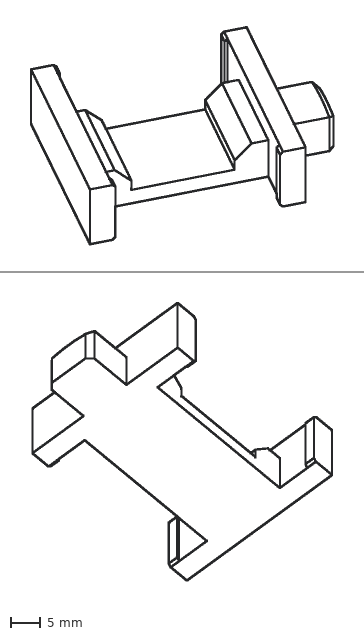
import cadquery as cq

plate_width = 33.8
plate_height = 12.0
plate_thickness = 4.0
lip_width = 2.0
lip_depth = 0.5

web_width = 17.0
floor_height = 3.0
step_height = 5.0
shoulder_height = 8.0
shoulder_length = 3.0
ramp_length = 3.0

peg_width = 10.0
peg_length = 9.0
peg_side_height = 7.43
peg_crown_height = 8.0
peg_chamfer = 1.1

total_length = 47.3
front_plate_inner = plate_thickness
back_plate_outer = total_length - peg_length
back_plate_inner = back_plate_outer - plate_thickness


def extrude_across(points, width, center_x=0.0):
    """Extrude a (Y, Z) outline along X, centred on center_x."""
    start = cq.Workplane("YZ").workplane(offset=center_x - width / 2)
    return start.polyline(points).close().extrude(width)


def end_plate(outer_y, inner_y, inward):
    """Plate with a bevelled lip at each end; inward is the Y sign toward the web."""
    plate = extrude_across(
        [(outer_y, 0), (inner_y, 0), (inner_y, plate_height), (outer_y, plate_height)],
        plate_width,
    )
    lip_face = inner_y + inward * lip_depth
    lip_outline = [
        (outer_y, 0),
        (inner_y, 0),
        (lip_face, lip_depth),
        (lip_face, plate_height - lip_depth),
        (inner_y, plate_height),
        (outer_y, plate_height),
    ]
    for side in (-1, 1):
        lip_center = side * (plate_width - lip_width) / 2
        plate = plate.union(extrude_across(lip_outline, lip_width, lip_center))
    return plate


def web():
    """Flat floor between two sloped shoulders."""
    front_ramp = front_plate_inner + shoulder_length
    back_ramp = back_plate_inner - shoulder_length
    outline = [
        (front_plate_inner, 0),
        (front_plate_inner, shoulder_height),
        (front_ramp, shoulder_height),
        (front_ramp + ramp_length, step_height),
        (front_ramp + ramp_length, floor_height),
        (back_ramp - ramp_length, floor_height),
        (back_ramp - ramp_length, step_height),
        (back_ramp, shoulder_height),
        (back_plate_inner, shoulder_height),
        (back_plate_inner, 0),
    ]
    return extrude_across(outline, web_width)


def peg():
    """Crowned peg, chamfered around its free end except along the flat bottom."""
    half_width = peg_width / 2
    body = (
        cq.Workplane("XZ", origin=(0, back_plate_outer, 0))
        .moveTo(-half_width, 0)
        .lineTo(-half_width, peg_side_height)
        .threePointArc((0, peg_crown_height), (half_width, peg_side_height))
        .lineTo(half_width, 0)
        .close()
        .extrude(-peg_length)
    )
    return body.faces(">Y").edges("not(<Z)").chamfer(peg_chamfer)


result = (
    web()
    .union(end_plate(0, front_plate_inner, 1))
    .union(end_plate(back_plate_outer, back_plate_inner, -1))
    .union(peg())
)